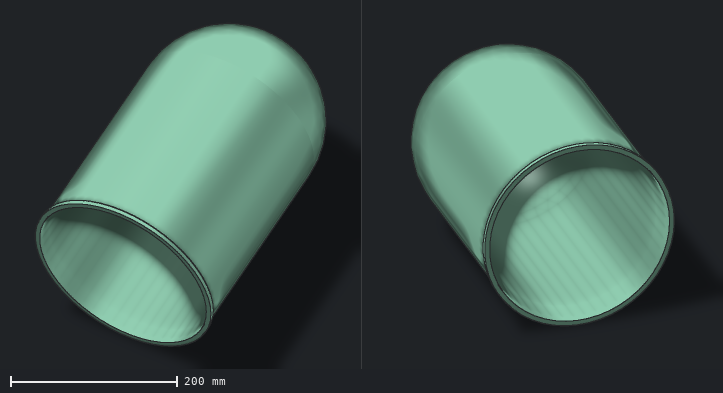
import cadquery as cq
import math

total_length = 381.0
rim_diameter = 241.0
body_diameter = 234.7
bore_diameter = 228.5
rim_thickness = 6.0

rim_radius = rim_diameter / 2
body_radius = body_diameter / 2
bore_radius = bore_diameter / 2
fillet_radius = rim_radius - body_radius
dome_start = total_length - body_radius
fillet_end = rim_thickness + fillet_radius
diagonal = math.sqrt(0.5)


def arc_middle(radius):
    """Point halfway along a quarter circle centred on the dome centre."""
    return (radius * diagonal, dome_start + radius * diagonal)


fillet_middle = (
    rim_radius - fillet_radius * diagonal,
    fillet_end - fillet_radius * diagonal,
)

half_section = (
    cq.Workplane("XY")
    .moveTo(bore_radius, 0)
    .lineTo(rim_radius, 0)
    .lineTo(rim_radius, rim_thickness)
    .threePointArc(fillet_middle, (body_radius, fillet_end))
    .lineTo(body_radius, dome_start)
    .threePointArc(arc_middle(body_radius), (0, total_length))
    .lineTo(0, dome_start + bore_radius)
    .threePointArc(arc_middle(bore_radius), (bore_radius, dome_start))
    .close()
)

result = half_section.revolve(360, (0, 0, 0), (0, 1, 0))